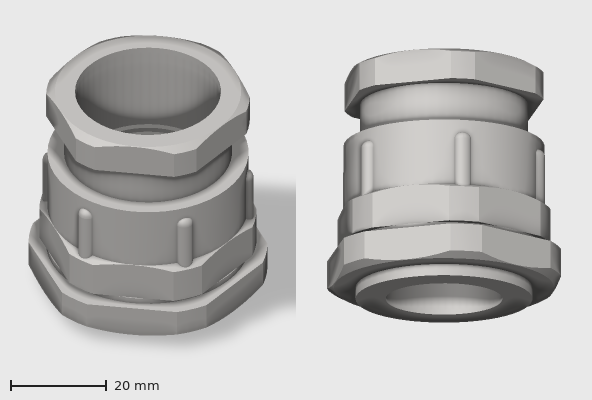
import cadquery as cq
import math


LOCKNUT_BOTTOM = 2.45
GASKET_BOTTOM = 9.45
BODY_HEX_BOTTOM = 10.75
BODY_HEX_TOP = 19.25
BODY_TOP = 33.05
SCREW_HEAD_BOTTOM = 41.95
OVERALL_HEIGHT = 48.9

HEXAGON_SIDES = 6
LOCKNUT_FLATS = 46.2
LOCKNUT_CORNER_DIAMETER = 49.95
BODY_FLATS = 42.1
BODY_CORNER_DIAMETER = 45.4
SCREW_FLATS = 39.1
SCREW_CORNER_DIAMETER = 42.55
CHAMFER_ANGLE = 30.0
CHAMFER_FACE_RATIO = 0.995

STEM_DIAMETER = 36.95
GASKET_DIAMETER = 42.65
BARREL_DIAMETER = 42.0
NECK_DIAMETER = 35.1
SCREW_BORE = 30.45
WASHER_BORE = 27.9
PASSAGE_DIAMETER = 24.45

POCKET_FLOOR = BODY_HEX_TOP
WASHER_THICKNESS = 1.0
WASHER_TOP = 28.95
SEAL_TOP = WASHER_TOP - WASHER_THICKNESS

RIB_COUNT = HEXAGON_SIDES
RIB_RADIUS = 1.85
RIB_REACH = 22.25
RIB_SHAFT_TOP = 28.85
RIB_EDGE_RADIUS = 1.6


def cylinder(diameter, bottom, top):
    return cq.Workplane("XY").workplane(offset=bottom).circle(diameter / 2).extrude(top - bottom)


def ring(outer_diameter, bore, bottom, top):
    return cylinder(outer_diameter, bottom, top).cut(cylinder(bore, bottom, top))


def hexagon(flats, corner_diameter, bottom, top, chamfer_at_top):
    """Hexagonal prism with corners on +Y and -Y, rounded corners and one end chamfered conically."""
    height = top - bottom
    corner_radius = corner_diameter / 2
    face_radius = CHAMFER_FACE_RATIO * flats / 2
    chamfer_height = (corner_radius - face_radius) * math.tan(math.radians(CHAMFER_ANGLE))
    prism = (
        cq.Workplane("XY")
        .workplane(offset=bottom)
        .polygon(HEXAGON_SIDES, flats, circumscribed=True)
        .extrude(height)
    )
    if chamfer_at_top:
        face_level, shoulder_level, plain_level = top, top - chamfer_height, bottom
    else:
        face_level, shoulder_level, plain_level = bottom, bottom + chamfer_height, top
    turned_blank = (
        cq.Workplane("XZ")
        .moveTo(0, plain_level)
        .lineTo(corner_radius, plain_level)
        .lineTo(corner_radius, shoulder_level)
        .lineTo(face_radius, face_level)
        .lineTo(0, face_level)
        .close()
        .revolve(360, (0, 0, 0), (0, 1, 0))
    )
    return prism.intersect(turned_blank)


def make_locknut():
    nut = hexagon(LOCKNUT_FLATS, LOCKNUT_CORNER_DIAMETER, LOCKNUT_BOTTOM, GASKET_BOTTOM, False)
    return nut.cut(cylinder(STEM_DIAMETER, LOCKNUT_BOTTOM, GASKET_BOTTOM))


def make_gasket():
    return ring(GASKET_DIAMETER, STEM_DIAMETER, GASKET_BOTTOM, BODY_HEX_BOTTOM)


def make_rib(angle):
    rib_top = RIB_SHAFT_TOP + RIB_EDGE_RADIUS
    rib = cylinder(2 * RIB_RADIUS, BODY_HEX_BOTTOM, rib_top).faces(">Z").edges().fillet(RIB_EDGE_RADIUS)
    return rib.translate((0, RIB_REACH - RIB_RADIUS, 0)).rotate((0, 0, 0), (0, 0, 1), angle)


def make_body():
    body = cylinder(STEM_DIAMETER, 0, BODY_HEX_BOTTOM)
    body = body.union(hexagon(BODY_FLATS, BODY_CORNER_DIAMETER, BODY_HEX_BOTTOM, BODY_HEX_TOP, True))
    body = body.union(cylinder(BARREL_DIAMETER, BODY_HEX_BOTTOM, BODY_TOP))
    for index in range(RIB_COUNT):
        body = body.union(make_rib(index * 360 / RIB_COUNT))
    body = body.cut(cylinder(PASSAGE_DIAMETER, 0, POCKET_FLOOR))
    return body.cut(cylinder(NECK_DIAMETER, POCKET_FLOOR, BODY_TOP))


def make_seal():
    return ring(NECK_DIAMETER, PASSAGE_DIAMETER, POCKET_FLOOR, SEAL_TOP)


def make_thrust_washer():
    return ring(NECK_DIAMETER, WASHER_BORE, SEAL_TOP, WASHER_TOP)


def make_pressure_screw():
    head = hexagon(SCREW_FLATS, SCREW_CORNER_DIAMETER, SCREW_HEAD_BOTTOM, OVERALL_HEIGHT, True)
    screw = head.union(cylinder(NECK_DIAMETER, WASHER_TOP, SCREW_HEAD_BOTTOM))
    return screw.cut(cylinder(SCREW_BORE, WASHER_TOP, OVERALL_HEIGHT))


locknut = make_locknut()
gasket = make_gasket()
body = make_body()
seal = make_seal()
thrust_washer = make_thrust_washer()
pressure_screw = make_pressure_screw()

result = cq.Compound.makeCompound([
    locknut.val(),
    gasket.val(),
    body.val(),
    seal.val(),
    thrust_washer.val(),
    pressure_screw.val(),
])